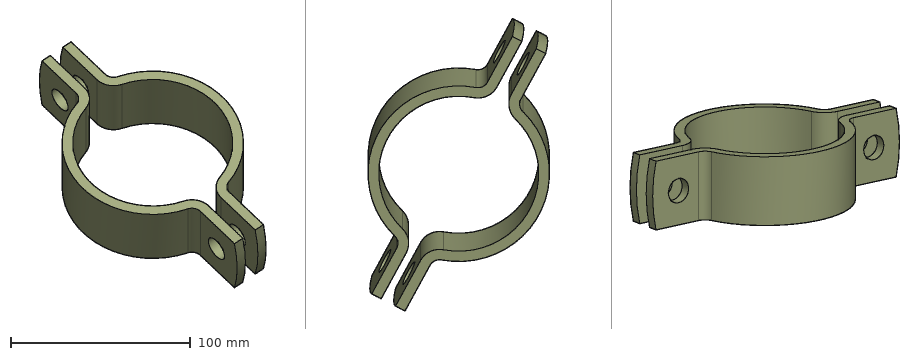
import cadquery as cq
import math


PIPE_DIAMETER = 88.9
THICKNESS = 6.0
WIDTH = 40.0
GAP = 9.0
BEND_RADIUS = 6.0
OVERALL_LENGTH = 172.0
HOLE_DIAMETER = 14.0
HOLE_SPACING = 136.0

INNER_RADIUS = PIPE_DIAMETER / 2
OUTER_RADIUS = INNER_RADIUS + THICKNESS
BEND_OUTER_RADIUS = BEND_RADIUS + THICKNESS
EAR_FACE = GAP / 2
EAR_BACK = EAR_FACE + THICKNESS
HALF_LENGTH = OVERALL_LENGTH / 2

BEND_Y = EAR_BACK + BEND_RADIUS
BEND_DISTANCE = OUTER_RADIUS + BEND_RADIUS
BEND_X = math.sqrt(BEND_DISTANCE**2 - BEND_Y**2)
JOIN_ANGLE = math.asin(BEND_Y / BEND_DISTANCE)
BEND_MID_ANGLE = (math.pi + JOIN_ANGLE + 3 * math.pi / 2) / 2


def ring_point(radius, angle):
    """Point on a circle about the clamp axis."""
    return radius * math.cos(angle), radius * math.sin(angle)


def bend_middle(radius):
    """Middle point of a right-hand bend arc of the given radius."""
    return BEND_X + radius * math.cos(BEND_MID_ANGLE), BEND_Y + radius * math.sin(BEND_MID_ANGLE)


def mirrored(point):
    """The same point on the left-hand side of the clamp."""
    return -point[0], point[1]


def strap():
    """Bent strap on the +Y side, with a square-ended ear at each side."""
    outer_join = ring_point(OUTER_RADIUS, JOIN_ANGLE)
    inner_join = ring_point(INNER_RADIUS, JOIN_ANGLE)
    back_bend = bend_middle(BEND_RADIUS)
    face_bend = bend_middle(BEND_OUTER_RADIUS)
    return (
        cq.Workplane("XY")
        .workplane(offset=-WIDTH / 2)
        .moveTo(HALF_LENGTH, EAR_FACE)
        .lineTo(HALF_LENGTH, EAR_BACK)
        .lineTo(BEND_X, EAR_BACK)
        .threePointArc(back_bend, outer_join)
        .threePointArc((0, OUTER_RADIUS), mirrored(outer_join))
        .threePointArc(mirrored(back_bend), (-BEND_X, EAR_BACK))
        .lineTo(-HALF_LENGTH, EAR_BACK)
        .lineTo(-HALF_LENGTH, EAR_FACE)
        .lineTo(-BEND_X, EAR_FACE)
        .threePointArc(mirrored(face_bend), mirrored(inner_join))
        .threePointArc((0, INNER_RADIUS), inner_join)
        .threePointArc(face_bend, (BEND_X, EAR_FACE))
        .close()
        .extrude(WIDTH)
    )


def crowned_envelope():
    """Cylinder along Y whose surface rounds the ear ends about the clamp centre."""
    return cq.Workplane("XZ").circle(HALF_LENGTH).extrude(OUTER_RADIUS, both=True)


def bolt_holes():
    """Cylinders along Y through both ears."""
    return (
        cq.Workplane("XZ")
        .pushPoints([(-HOLE_SPACING / 2, 0), (HOLE_SPACING / 2, 0)])
        .circle(HOLE_DIAMETER / 2)
        .extrude(OUTER_RADIUS, both=True)
    )


def clamp_half(turn):
    """One clamp half, turned about Z by the given angle in degrees."""
    half = strap().intersect(crowned_envelope()).cut(bolt_holes())
    return half.rotate((0, 0, 0), (0, 0, 1), turn)


clamp_halves = [clamp_half(turn) for turn in (0, 180)]

result = cq.Compound.makeCompound([half.val() for half in clamp_halves])